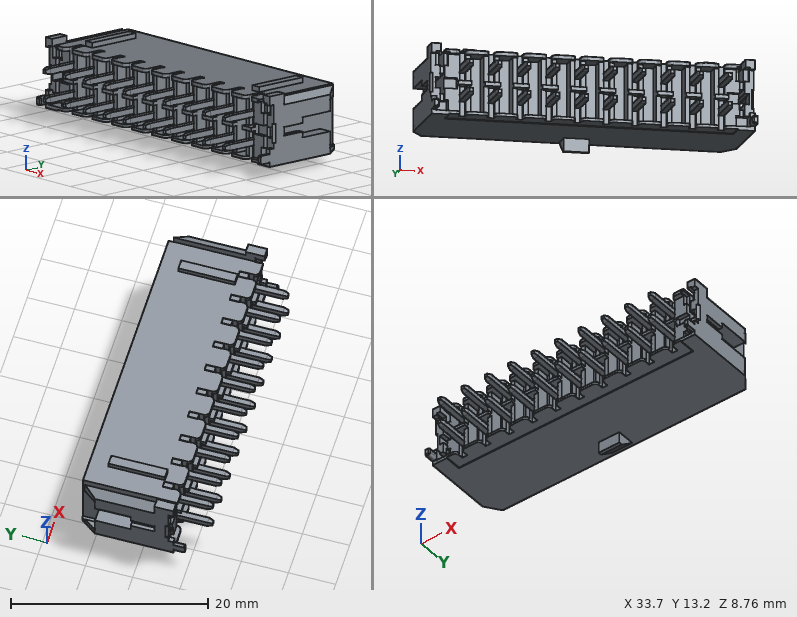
import cadquery as cq
import math

overall_length = 33.7
half_length = overall_length / 2
depth = 10.0
height = 6.8
mid_z = height / 2

pins_per_row = 10
pin_pitch = 3.0
row_spacing = 3.0
pin_size = 0.65
pin_reach = 3.2
pin_tip_length = 0.5
pin_tip_size = 0.37
pin_positions = [(i - (pins_per_row - 1) / 2) * pin_pitch for i in range(pins_per_row)]
row_mid_z = 3.45
row_heights = [row_mid_z - row_spacing / 2, row_mid_z + row_spacing / 2]

flange_thickness = 0.4
front_setback = 0.55
slot_depth = 1.0
notch_depth = 2.02
notch_drop = 0.1
column_width = 1.62
web_thickness = 0.4
tab_radius = 0.5
relief_half_length = 15.03

housing_half_length = 15.37
wall_thickness = 0.98
wall_inner_x = half_length - wall_thickness
wall_start_y = 8.3
wall_slope_drop = 0.6
bottom_rail_height = 0.65
rear_corner_x = 15.6
top_rail_underside = 5.65
post_top = 7.38
post_depth = 2.02
foot_top = 1.85
lug_width = 0.5
window_height = 2.12
window_front_y = 4.5
slit_height = 0.9
channel_height = 1.1
channel_outer_x = half_length - lug_width
lower_pocket = (flange_thickness, 1.62)
lower_pocket_depth = 1.4
upper_pocket = (5.22, 6.57)
lower_bridge = (flange_thickness, mid_z - window_height / 2)
upper_bridge = (mid_z + window_height / 2, upper_pocket[0])
pocket_inner_x = 15.0
end_recess_inner_x = 14.1
grip_height = 2.0
grip_depth = 0.3
grip_inset = 0.25

prong_width = 0.55
prong_height = 0.88
prong_reach = 1.2
prong_z = 0.9
prong_radius = 0.27
prong_tip_chamfer = 0.15

rib_center_x = 12.55
rib_width = 1.0
rib_height = 0.55
rib_rear_y = 8.0
latch_width = 2.63
latch_drop = 1.38
latch_front_y = 7.48
latch_flat = 0.4
latch_rear_y = 9.65


def block(x_range, y_range, z_range):
    """Box between two limits on each axis."""
    (x0, x1), (y0, y1), (z0, z1) = x_range, y_range, z_range
    return cq.Workplane("XY").box(x1 - x0, y1 - y0, z1 - z0, centered=False).translate((x0, y0, z0))


def centered_span(center, size):
    return (center - size / 2, center + size / 2)


def end_wall():
    """Wall at the +X end, with its post, rails, bridges and prong."""
    full_x = (wall_inner_x, half_length)
    inner_x = (wall_inner_x, channel_outer_x)
    wall = block(full_x, (0, depth), (0, height))
    slope = (
        cq.Workplane("XZ")
        .polyline([(wall_inner_x, height), (half_length, height), (half_length, height - wall_slope_drop)])
        .close()
        .extrude(-depth)
    )
    wall = wall.cut(slope)
    wall = wall.union(block(full_x, (0, post_depth), (foot_top, post_top)))

    gap = (housing_half_length, wall_inner_x)
    wall = wall.union(block(gap, (0, depth), (0, flange_thickness)))
    for level in (lower_bridge, upper_bridge):
        wall = wall.union(block(gap, (slot_depth, wall_start_y), level))

    wall = wall.cut(block(full_x, (0, front_setback), (foot_top, height - flange_thickness)))
    wall = wall.cut(block(inner_x, (0, front_setback), (lower_pocket[1], foot_top)))

    wall = wall.cut(block(full_x, (wall_start_y, depth), (bottom_rail_height, top_rail_underside)))
    slant = (
        cq.Workplane("XY")
        .polyline([(rear_corner_x, depth), (half_length, depth), (half_length, wall_start_y)])
        .close()
        .extrude(height)
    )
    wall = wall.cut(slant)

    wall = wall.cut(block(full_x, (window_front_y, depth), centered_span(mid_z, window_height)))
    wall = wall.cut(block(full_x, (post_depth, depth), centered_span(mid_z, slit_height)))
    wall = wall.cut(block(inner_x, (0, depth), centered_span(mid_z, channel_height)))

    grip = (
        cq.Workplane("XY")
        .polyline(
            [
                (half_length - grip_inset, front_setback),
                (half_length, front_setback),
                (half_length, front_setback + grip_depth),
            ]
        )
        .close()
        .extrude(grip_height)
        .translate((0, 0, mid_z - grip_height / 2))
    )
    return wall.cut(grip).union(prong())


def prong():
    x_range = (half_length - prong_width, half_length)
    body = block(x_range, (-prong_reach, front_setback), centered_span(prong_z, prong_height))
    body = body.edges("|Y and <X").fillet(prong_radius)
    tip_edges = body.faces("<Y").edges("not >X")
    return tip_edges.chamfer(prong_tip_chamfer)


def end_cuts():
    """Pockets in the front that cross the gap at the +X end, and the recess in the housing."""
    pocket_x = (pocket_inner_x, channel_outer_x)
    cuts = block(pocket_x, (0, lower_pocket_depth), lower_pocket)
    cuts = cuts.union(block(pocket_x, (0, slot_depth), upper_pocket))
    recess_x = (end_recess_inner_x, housing_half_length)
    return cuts.union(block(recess_x, (0, slot_depth), centered_span(mid_z, channel_height)))


def tab_corner(x, side):
    """Waste outside a rounded tab corner, next to the slot edge at x."""
    corner = block((0, tab_radius), (0, tab_radius), (0, height))
    disc = cq.Workplane("XY").center(tab_radius, tab_radius).circle(tab_radius).extrude(height)
    corner = corner.cut(disc)
    if side < 0:
        corner = corner.mirror("YZ")
    return corner.translate((x, 0, 0))


def housing():
    x_range = (-housing_half_length, housing_half_length)
    body = block(x_range, (0, depth), (0, height))
    cell_z = (flange_thickness, height - flange_thickness)

    body = body.cut(block(x_range, (0, front_setback), cell_z))
    relief_x = (-relief_half_length, relief_half_length)
    body = body.cut(block(relief_x, (0, notch_depth), (0, notch_drop)))

    for x in pin_positions[:-1]:
        recess = centered_span(x + pin_pitch / 2, pin_pitch - column_width)
        body = body.cut(block(recess, (0, notch_depth), cell_z))

    for x in pin_positions:
        slot_x = centered_span(x, pin_size)
        body = body.cut(block(slot_x, (0, slot_depth), (0, height)))
        body = body.cut(block(slot_x, (0, notch_depth), (height - notch_drop, height)))
        for side in (-1, 1):
            body = body.cut(tab_corner(x + side * pin_size / 2, side))
        web_z = centered_span(mid_z, web_thickness)
        body = body.union(block(centered_span(x, column_width), (0, slot_depth), web_z))
    return body


def pin(x, z):
    shank_end = pin_reach - pin_tip_length
    taper = math.degrees(math.atan((pin_size - pin_tip_size) / 2 / pin_tip_length))
    shank = block(centered_span(x, pin_size), (-shank_end, notch_depth), centered_span(z, pin_size))
    tip = (
        cq.Workplane("XZ", origin=(x, -shank_end, z))
        .rect(pin_size, pin_size)
        .extrude(pin_tip_length, taper=taper)
    )
    return shank.union(tip)


def rib(x):
    return block(centered_span(x, rib_width), (post_depth, rib_rear_y), (height, height + rib_height))


def latch():
    """Wedge under the housing, with its steep side to the front."""
    return (
        cq.Workplane("YZ", origin=(-latch_width / 2, 0, 0))
        .moveTo(latch_front_y, 0)
        .lineTo(latch_front_y, -latch_drop)
        .lineTo(latch_front_y + latch_flat, -latch_drop)
        .lineTo(latch_rear_y, 0)
        .close()
        .extrude(latch_width)
    )


wall = end_wall()
pockets = end_cuts()
result = housing().union(wall).union(wall.mirror("YZ"))
result = result.cut(pockets).cut(pockets.mirror("YZ"))
result = result.union(latch())
for side in (-1, 1):
    result = result.union(rib(side * rib_center_x))
for pin_x in pin_positions:
    for pin_z in row_heights:
        result = result.union(pin(pin_x, pin_z))